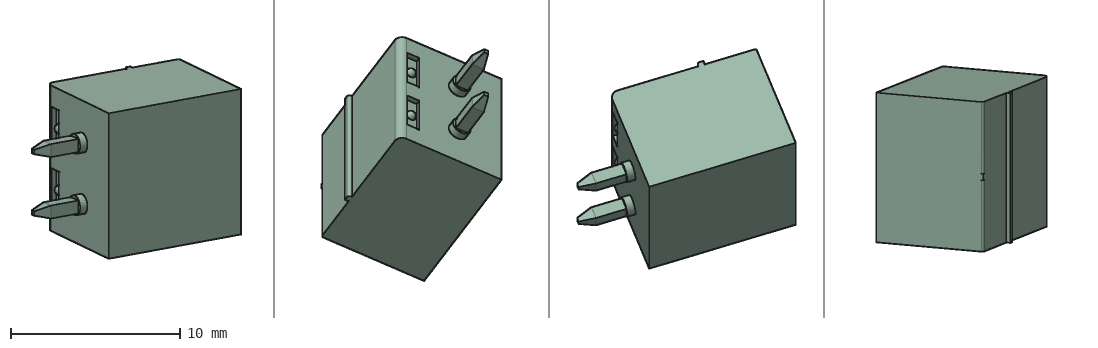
import cadquery as cq

total_width = 7.25
total_length = 12.6
height = 9.01

housing_length = 9.2
rib_depth = 0.25
housing_width = total_width - rib_depth
front_edge_radius = 0.5
back_edge_radius = 0.13
back_tab_height = 0.38

rib_back_offset = 3.23
rib_length = 0.42
rib_edge_radius = 0.2

contact_count = 2
contact_pitch = 3.8
pin_offset = 4.0
slot_offset = 0.98

collar_diameter = 1.21
collar_length = 0.5
pin_size = 0.81
taper_length = 0.98
tip_size = 0.28
shank_length = total_length - housing_length - collar_length - taper_length

slot_width = 0.81
slot_height = 2.6
slot_depth = 0.32
stud_radius = 0.32

collar_end = -collar_length
taper_start = collar_end - shank_length
first_contact_z = (height - (contact_count - 1) * contact_pitch) / 2
contact_heights = [first_contact_z + i * contact_pitch for i in range(contact_count)]


def front_plane(x, y, z):
    """Work plane facing -Y with its origin at the given point."""
    return cq.Workplane(cq.Plane(origin=(x, y, z), xDir=(1, 0, 0), normal=(0, -1, 0)))


def make_housing():
    """Block with both -X vertical edges rounded; a square tab interrupts the back one."""
    block = cq.Workplane("XY").box(housing_width, housing_length, height, centered=False)
    block = block.edges("|Z and <X and <Y").fillet(front_edge_radius)
    block = block.edges("|Z and <X and >Y").fillet(back_edge_radius)
    tab = cq.Workplane("XY").box(
        back_edge_radius, back_edge_radius, back_tab_height, centered=(False, False, True)
    )
    tab_y = housing_length - back_edge_radius
    return block.union(tab.translate((0, tab_y, height / 2)))


def make_rib():
    """Vertical rib whose outer edge facing -Y is rounded."""
    back = housing_length - rib_back_offset
    rib = cq.Workplane("XY").box(2 * rib_depth, rib_length, height, centered=False)
    rib = rib.edges("|Z and <X and <Y").fillet(rib_edge_radius)
    return rib.translate((-rib_depth, back - rib_length, 0))


def make_pin(z):
    """Round collar, square shank and tapered tip."""
    collar = front_plane(pin_offset, 0, z).circle(collar_diameter / 2).extrude(collar_length)
    shank = front_plane(pin_offset, collar_end, z).rect(pin_size, pin_size).extrude(shank_length)
    taper = (
        front_plane(pin_offset, taper_start, z)
        .rect(pin_size, pin_size)
        .workplane(offset=taper_length)
        .rect(tip_size, tip_size)
        .loft(ruled=True)
    )
    return collar.union(shank).union(taper)


def make_slot(z):
    """Recess cut into the front face."""
    floor = front_plane(slot_offset, slot_depth, z)
    return floor.rect(slot_width, slot_height).extrude(slot_depth)


def make_stud(z):
    """Ball centred on the slot floor, so that half of it stands in the slot."""
    return cq.Workplane("XY").sphere(stud_radius).translate((slot_offset, slot_depth, z))


result = make_housing().union(make_rib())
for contact_z in contact_heights:
    result = result.cut(make_slot(contact_z))
    result = result.union(make_stud(contact_z))
    result = result.union(make_pin(contact_z))